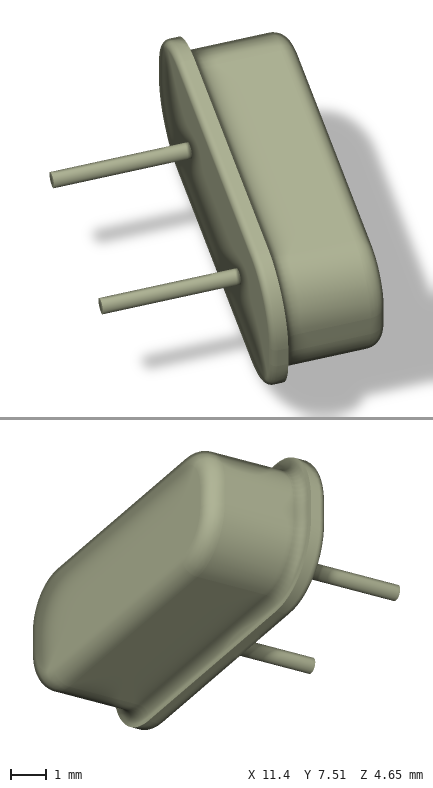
import cadquery as cq

flange_length = 11.35
flange_height = 4.65
flange_thickness = 0.5
flange_corner_radius = 2.0
flange_edge_radius = 0.2

rim_width = 0.426
can_length = flange_length - 2 * rim_width
can_height = flange_height - 2 * rim_width
can_corner_radius = flange_corner_radius - rim_width
can_top_radius = 0.5
can_root_radius = 0.3
body_depth = 3.51

pin_diameter = 0.47
pin_spacing = 4.88
pin_length = 4.0


def rounded_block(length, height, corner_radius, depth):
    """Block from the XZ plane to y = depth, with rounded corners."""
    return (
        cq.Workplane("XZ")
        .rect(length, height)
        .extrude(-depth)
        .edges("|Y")
        .fillet(corner_radius)
    )


def make_flange():
    plate = rounded_block(flange_length, flange_height, flange_corner_radius, flange_thickness)
    return plate.faces("<Y").edges().fillet(flange_edge_radius)


def make_can():
    cap = rounded_block(can_length, can_height, can_corner_radius, body_depth)
    return cap.faces(">Y").edges().fillet(can_top_radius)


def add_root_fillet(body):
    """Blend the can wall into the back face of the flange."""
    margin = rim_width / 2
    root_box = cq.selectors.BoxSelector(
        (-can_length / 2 - margin, flange_thickness - margin, -can_height / 2 - margin),
        (can_length / 2 + margin, flange_thickness + margin, can_height / 2 + margin),
        boundingbox=True,
    )
    return body.edges(root_box).fillet(can_root_radius)


def make_pins():
    return (
        cq.Workplane("XZ")
        .pushPoints([(-pin_spacing / 2, 0), (pin_spacing / 2, 0)])
        .circle(pin_diameter / 2)
        .extrude(pin_length)
    )


body = add_root_fillet(make_flange().union(make_can()))
result = body.union(make_pins())